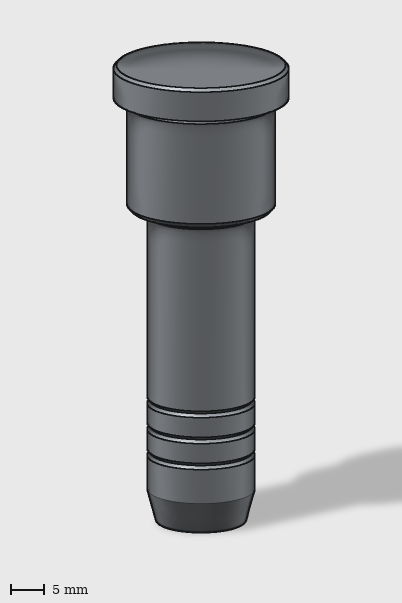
import math

import cadquery as cq

total_length = 70.0
head_height = 5.0
collar_length = 17.0
taper_height = 5.0

head_diameter = 26.0
head_radius = head_diameter / 2
collar_radius = 11.0
shank_radius = 8.0
taper_angle = 15.0

head_chamfer = 0.5
collar_chamfer_height = 0.7
collar_chamfer_depth = 0.6
tip_fillet = 0.5
neck_height = 1.0
neck_depth = 0.5

groove_height = 1.0
groove_depth = 0.5
groove_count = 3
groove_pitch = 4.0
lowest_groove_z = 10.65

head_bottom = total_length - head_height
collar_bottom = head_bottom - collar_length
neck_bottom = collar_bottom - neck_height
neck_radius = shank_radius - neck_depth
tip_radius = shank_radius - taper_height * math.tan(math.radians(taper_angle))


def turned(points):
    """Revolve a closed (radius, height) outline around the Z axis."""
    return cq.Workplane("XZ").polyline(points).close().revolve(360, (0, 0), (0, 1))


def pin_body():
    """Headed pin with a collar, a relief neck and a tapered, rounded tip."""
    body = turned([
        (0, 0),
        (tip_radius, 0),
        (shank_radius, taper_height),
        (shank_radius, neck_bottom),
        (neck_radius, neck_bottom),
        (neck_radius, collar_bottom),
        (collar_radius - collar_chamfer_depth, collar_bottom),
        (collar_radius, collar_bottom + collar_chamfer_height),
        (collar_radius, head_bottom),
        (head_radius, head_bottom),
        (head_radius, total_length - head_chamfer),
        (head_radius - head_chamfer, total_length),
        (0, total_length),
    ])
    return body.faces("<Z").edges().fillet(tip_fillet)


def ring_groove(surface_radius, center_z):
    """V-shaped ring of material removed from a cylinder of the given radius."""
    return turned([
        (surface_radius, center_z - groove_height / 2),
        (surface_radius - groove_depth, center_z),
        (surface_radius, center_z + groove_height / 2),
    ])


result = pin_body().cut(ring_groove(collar_radius, head_bottom - groove_height / 2))
for index in range(groove_count):
    groove_z = lowest_groove_z + index * groove_pitch
    result = result.cut(ring_groove(shank_radius, groove_z))